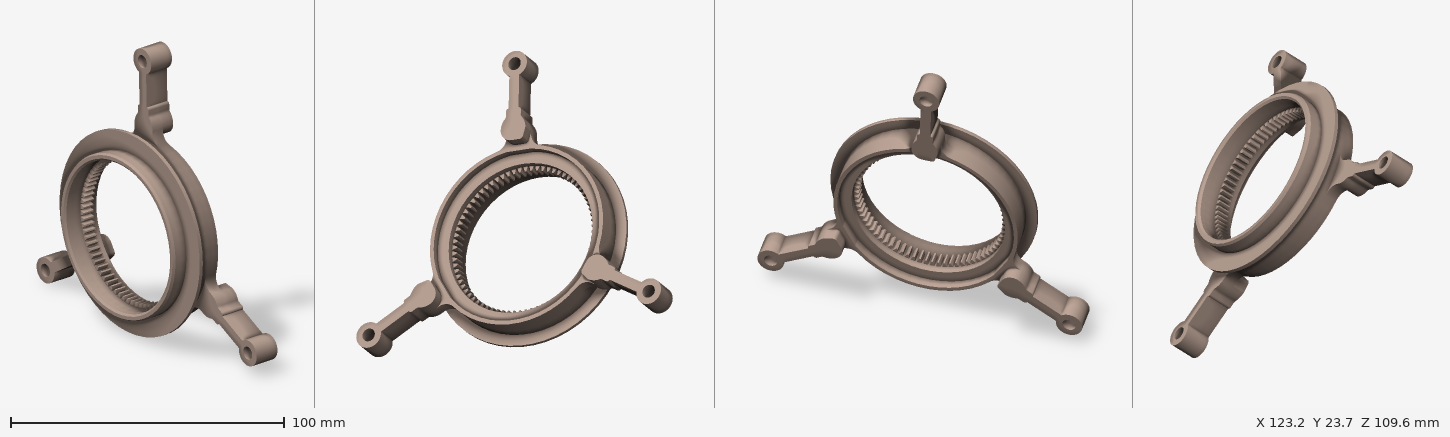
import cadquery as cq
import math


barrel_length = 6.2
flange_thickness = 1.5
body_length = 11.0
arm_overhang = 5.0
arm_thickness = 10.0
flange_front_y = barrel_length
flange_back_y = flange_front_y + flange_thickness
body_back_y = flange_back_y + body_length
arm_back_y = body_back_y + arm_overhang
foot_thickness = arm_thickness - arm_overhang

barrel_radius = 63.5 / 2
rim_radius = 62.4 / 2
rim_chamfer_length = 1.0
flange_radius = 78.5 / 2
body_radius = 70.0 / 2
bore_radius = 58.2 / 2
bore_chamfer = 0.75
counterbore_radius = 67.0 / 2
counterbore_depth = 3.5
counterbore_floor_y = body_back_y - counterbore_depth

tooth_count = 75
tooth_tip_radius = 27.25
tooth_root_share = 0.75
tooth_tip_share = 0.25
tooth_root_overlap = 0.5
tooth_front_y = 7.5
tooth_length = 4.8
tooth_back_y = tooth_front_y + tooth_length

arm_count = 3
first_arm_angle = 91.4
boss_distance = 65.4
boss_radius = 5.0
boss_hole_diameter = 5.0
shank_half_width = 2.0
collar_half_width = 3.0
collar_outer_distance = 47.0
collar_inner_distance = 45.1
collar_round_radius = collar_half_width - shank_half_width
base_half_width = 5.0
base_inner_distance = 35.4
tapered_corner_radius = 3.0 / 2
tapered_corner_offset = 2.65
round_corner_radius = 4.4
round_corner_offset = base_half_width - round_corner_radius
shoulder_radius = 6.5
neck_radius = 1.5
foot_fillet_radius = 5.0

radius_sum = shoulder_radius + neck_radius
center_rise = collar_half_width + neck_radius - (base_half_width - shoulder_radius)
center_run = math.sqrt(radius_sum**2 - center_rise**2)
shoulder_start = collar_inner_distance - center_run
shoulder_turn = math.asin(center_run / radius_sum)


def ring_body():
    """Revolved ring with barrel, flange, bore and counterbore."""
    section = [
        (bore_radius + bore_chamfer, 0),
        (rim_radius, 0),
        (barrel_radius, rim_chamfer_length),
        (barrel_radius, flange_front_y),
        (flange_radius, flange_front_y),
        (flange_radius, flange_back_y),
        (body_radius, flange_back_y),
        (body_radius, body_back_y),
        (counterbore_radius, body_back_y),
        (counterbore_radius, counterbore_floor_y),
        (bore_radius, counterbore_floor_y),
        (bore_radius, bore_chamfer),
    ]
    return cq.Workplane("XY").polyline(section).close().revolve(360, (0, 0), (0, 1))


def polar(radius, angle):
    return (radius * math.cos(angle), radius * math.sin(angle))


def teeth():
    """Straight-flanked teeth, rooted a little inside the ring wall."""
    pitch = 2 * math.pi / tooth_count
    root_half = tooth_root_share * pitch / 2
    tip_half = tooth_tip_share * pitch / 2
    buried_radius = bore_radius + tooth_root_overlap
    outlines = cq.Workplane("XZ", origin=(0, tooth_back_y, 0))
    for i in range(tooth_count):
        angle = i * pitch
        outlines = outlines.polyline(
            [
                polar(buried_radius, angle - root_half),
                polar(bore_radius, angle - root_half),
                polar(tooth_tip_radius, angle - tip_half),
                polar(tooth_tip_radius, angle + tip_half),
                polar(bore_radius, angle + root_half),
                polar(buried_radius, angle + root_half),
            ]
        ).close()
    return outlines.extrude(tooth_length)


def arm_half(side, corner_radius, corner_w):
    """One side (+1 or -1) of the arm blade along +X, from its centre line outward."""

    def shoulder_point(turn):
        u = shoulder_start + shoulder_radius * math.sin(turn)
        w = base_half_width - shoulder_radius * (1 - math.cos(turn))
        return (u, side * w)

    def neck_point(turn):
        u = collar_inner_distance - neck_radius * math.sin(turn)
        w = collar_half_width + neck_radius * (1 - math.cos(turn))
        return (u, side * w)

    collar_end = collar_outer_distance + collar_round_radius
    round_offset = collar_round_radius * math.sqrt(0.5)
    round_middle = (collar_outer_distance + round_offset, side * (shank_half_width + round_offset))

    corner_u = base_inner_distance + corner_radius
    lean_start = math.atan2(base_half_width - corner_w, shoulder_start - corner_u)
    reach = math.hypot(base_half_width - corner_w, shoulder_start - corner_u)
    flank_normal = lean_start + math.acos(corner_radius / reach)

    def corner_point(direction):
        u = corner_u + corner_radius * math.cos(direction)
        w = corner_w + corner_radius * math.sin(direction)
        return (u, side * w)

    return (
        cq.Workplane("XZ", origin=(0, arm_back_y, 0))
        .moveTo(base_inner_distance, 0)
        .lineTo(base_inner_distance, side * corner_w)
        .threePointArc(corner_point((flank_normal + math.pi) / 2), corner_point(flank_normal))
        .lineTo(shoulder_start, side * base_half_width)
        .threePointArc(shoulder_point(shoulder_turn / 2), shoulder_point(shoulder_turn))
        .threePointArc(neck_point(shoulder_turn / 2), neck_point(0))
        .lineTo(collar_outer_distance, side * collar_half_width)
        .threePointArc(round_middle, (collar_end, side * shank_half_width))
        .lineTo(boss_distance, side * shank_half_width)
        .lineTo(boss_distance, 0)
        .close()
        .extrude(arm_thickness)
    )


def arm_foot():
    """Root block joining the arm to the ring body, with concave fillets on both flanks."""
    fillet_w = base_half_width + foot_fillet_radius
    center_distance = body_radius + foot_fillet_radius
    fillet_u = math.sqrt(center_distance**2 - fillet_w**2)
    touch_share = body_radius / center_distance
    touch_u = touch_share * fillet_u
    touch_w = touch_share * fillet_w
    flank_turn = math.atan2(fillet_u, fillet_w)
    mid_u = fillet_u - foot_fillet_radius * math.sin(flank_turn / 2)
    mid_w = fillet_w - foot_fillet_radius * math.cos(flank_turn / 2)
    inner_u = (body_radius + counterbore_radius) / 2 - (body_radius - touch_u)
    return (
        cq.Workplane("XZ", origin=(0, body_back_y, 0))
        .moveTo(inner_u, touch_w)
        .lineTo(touch_u, touch_w)
        .threePointArc((mid_u, mid_w), (fillet_u, base_half_width))
        .lineTo(shoulder_start, base_half_width)
        .lineTo(shoulder_start, -base_half_width)
        .lineTo(fillet_u, -base_half_width)
        .threePointArc((mid_u, -mid_w), (touch_u, -touch_w))
        .lineTo(inner_u, -touch_w)
        .close()
        .extrude(foot_thickness)
    )


def boss_cylinder(diameter):
    plane = cq.Workplane("XZ", origin=(0, arm_back_y, 0))
    return plane.center(boss_distance, 0).circle(diameter / 2).extrude(arm_thickness)


def arm():
    """Complete arm along +X."""
    tapered = arm_half(1, tapered_corner_radius, tapered_corner_offset)
    rounded = arm_half(-1, round_corner_radius, round_corner_offset)
    blade = tapered.union(rounded).union(boss_cylinder(2 * boss_radius))
    return blade.union(arm_foot()).cut(boss_cylinder(boss_hole_diameter))


housing = ring_body().union(teeth())
for i in range(arm_count):
    arm_angle = first_arm_angle + i * 360 / arm_count
    housing = housing.union(arm().rotate((0, 0, 0), (0, 1, 0), -arm_angle))

result = housing.clean()